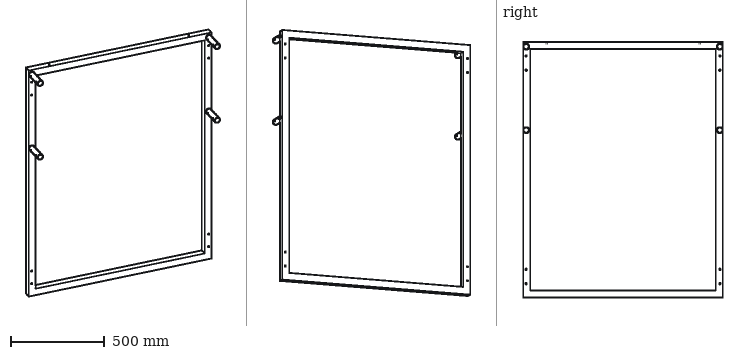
import cadquery as cq

height = 1365.0
width = 1066.0
bar_width = 40.0
bar_depth = 40.0

overall_depth = 153.0
peg_diameter = 33.0
peg_bore = 27.0
upper_peg_drop = 26.0
peg_spacing = 445.0
peg_y = (width - peg_diameter) / 2
peg_length = overall_depth - bar_depth

hole_diameter = 6.7
peg_hole_x = (63.0, 127.0)
post_hole_insets = (75.0, 152.0)
top_hole_inset = 125.0
top_hole_x = 23.0

upper_peg_z = height / 2 - upper_peg_drop
peg_heights = (upper_peg_z, upper_peg_z - peg_spacing)


def x_cylinder(diameter, x_start, length, y, z):
    """Cylinder running along +X from x_start."""
    start = cq.Vector(x_start, y, z)
    return cq.Workplane(cq.Solid.makeCylinder(diameter / 2, length, start, cq.Vector(1, 0, 0)))


def make_frame():
    outer = cq.Workplane("YZ").rect(width, height).extrude(bar_depth)
    opening = cq.Workplane("YZ").rect(width - 2 * bar_width, height - 2 * bar_width).extrude(bar_depth)
    return outer.cut(opening)


def add_peg(body, y, z):
    """Tubular peg with two cross holes running through it along Y."""
    peg = x_cylinder(peg_diameter, bar_depth, peg_length, y, z)
    peg = peg.cut(x_cylinder(peg_bore, bar_depth, peg_length, y, z))
    for x in peg_hole_x:
        start = cq.Vector(x, y - peg_diameter, z)
        drill = cq.Solid.makeCylinder(hole_diameter / 2, 2 * peg_diameter, start, cq.Vector(0, 1, 0))
        peg = peg.cut(cq.Workplane(drill))
    return body.union(peg)


def drill_posts(body):
    """Holes through both side posts, near their upper and lower ends."""
    for y in (-peg_y, peg_y):
        for inset in post_hole_insets:
            for z in (inset - height / 2, height / 2 - inset):
                body = body.cut(x_cylinder(hole_diameter, 0, bar_depth, y, z))
    return body


def drill_top_bar(body):
    """Vertical holes through the top bar, one near each end."""
    hole_y = width / 2 - top_hole_inset
    for y in (-hole_y, hole_y):
        start = cq.Vector(top_hole_x, y, height / 2 - bar_width)
        drill = cq.Solid.makeCylinder(hole_diameter / 2, bar_width, start, cq.Vector(0, 0, 1))
        body = body.cut(cq.Workplane(drill))
    return body


result = make_frame()
for side in (-1, 1):
    for peg_z in peg_heights:
        result = add_peg(result, side * peg_y, peg_z)
result = drill_posts(result)
result = drill_top_bar(result)